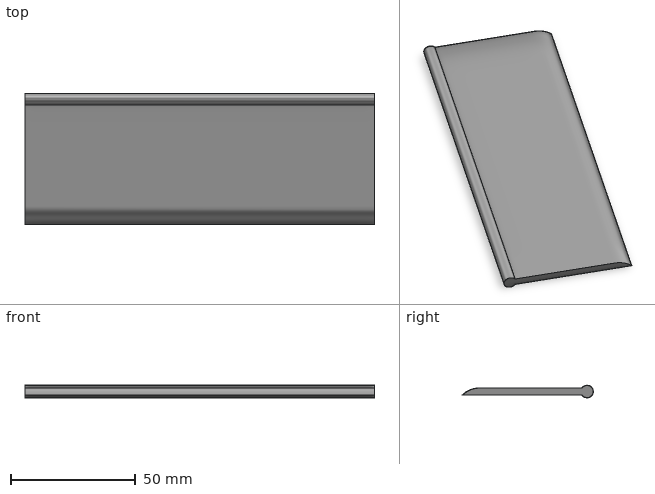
import cadquery as cq
import math

length = 140.0
width = 52.5
bead_diameter = 5.0
plate_thickness = 3.0
nose_radius = 10.0

bead_radius = bead_diameter / 2
half_thickness = plate_thickness / 2
front_y = -width / 2
bead_y = width / 2 - bead_radius

nose_run = math.sqrt(nose_radius**2 - (nose_radius - plate_thickness) ** 2)
nose_start_y = front_y + nose_run
nose_centre_z = half_thickness - nose_radius
half_sweep = math.asin(nose_run / nose_radius) / 2
nose_middle = (
    nose_start_y - nose_radius * math.sin(half_sweep),
    nose_centre_z + nose_radius * math.cos(half_sweep),
)

neck_y = bead_y - math.sqrt(bead_radius**2 - half_thickness**2)
neck_arc_middle = 110


def bead_point(angle):
    """Point (Y, Z) on the bead circle, at an angle in degrees from +Y."""
    turn = math.radians(angle)
    return (bead_y + bead_radius * math.cos(turn), bead_radius * math.sin(turn))


result = (
    cq.Workplane("YZ", origin=(-length / 2, 0, 0))
    .moveTo(front_y, -half_thickness)
    .lineTo(neck_y, -half_thickness)
    .threePointArc(bead_point(-neck_arc_middle), bead_point(-90))
    .threePointArc(bead_point(0), bead_point(90))
    .threePointArc(bead_point(neck_arc_middle), (neck_y, half_thickness))
    .lineTo(nose_start_y, half_thickness)
    .threePointArc(nose_middle, (front_y, -half_thickness))
    .close()
    .extrude(length, clean=False)
)